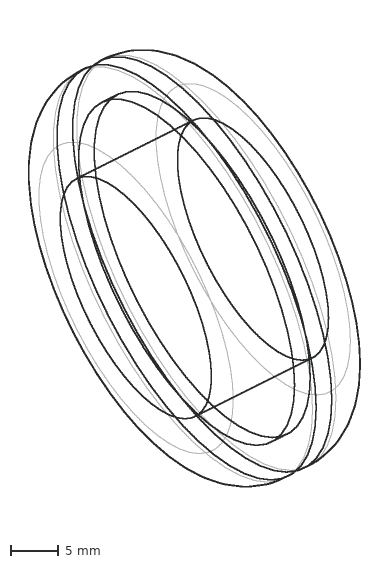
import cadquery as cq

outer_diameter = 48.0
bore_diameter = 28.0
groove_diameter = 40.0
width = 15.0
groove_width = 2.0
edge_radius = 6.0


def centred_disc(diameter, thickness):
    """Disc about the Y axis, centred on the origin."""
    plane = cq.Workplane("XZ", origin=(0, thickness / 2, 0))
    return plane.circle(diameter / 2).extrude(thickness)


def make_ring():
    """Bored disc with both outer rims rounded."""
    rounded = centred_disc(outer_diameter, width).edges("%CIRCLE").fillet(edge_radius)
    return rounded.cut(centred_disc(bore_diameter, width))


def make_groove():
    """Annular volume to remove from the middle of the outer surface."""
    groove_disc = centred_disc(outer_diameter, groove_width)
    return groove_disc.cut(centred_disc(groove_diameter, groove_width))


result = make_ring().cut(make_groove())